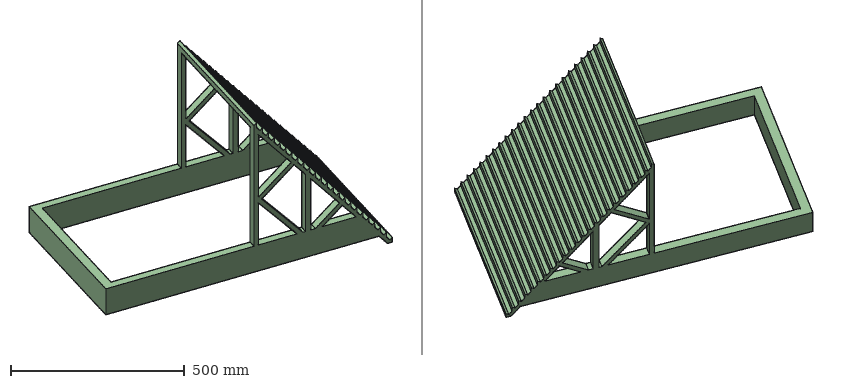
import cadquery as cq
import math

WIDTH = 480.0
LENGTH = 928.0
HEIGHT = 547.5

RAIL_WIDTH = 25.0
RAIL_HEIGHT = 90.0
RAIL_BOTTOM = 33.0
FRONT_BAR_DEPTH = 30.0

TOOTH_PITCHES = 23
TIP_RUN = 440.0
TIP_RISE = 531.0
NOTCH_RUN = 8.0
NOTCH_DROP = 6.5
FRONT_FACE_DROP = 18.0
FRONT_FACE_LEAN = 1.0
EAVE_FLAT = 16.0

RIDGE_POST_BACK = 480.0
RIDGE_POST_DEPTH = 15.0
MID_POST_BACK = 647.0
MID_POST_DEPTH = 18.0
BRACE_WIDTH = 15.0
BRACE_JOINT_HEIGHT = 279.0
SHORT_BRACE_FOOT = 690.0
RISING_BRACE_FOOT = 628.0

rail_top = RAIL_BOTTOM + RAIL_HEIGHT
slope = TIP_RISE / TIP_RUN
slope_angle = math.atan(slope)
first_tip_height = HEIGHT - TIP_RISE
ridge_post_front = RIDGE_POST_BACK + RIDGE_POST_DEPTH
underside_foot = LENGTH - EAVE_FLAT


def underside_height(y):
    """Height of the flat underside of the roof sheet at a given Y."""
    return (underside_foot - y) * slope


def prism(points, x_start, x_width):
    """Extrude a closed (Y, Z) outline along +X from x_start."""
    return cq.Workplane("YZ", origin=(x_start, 0, 0)).polyline(points).close().extrude(x_width)


def rectangle(y_low, y_high, z_low, z_high):
    return [(y_low, z_low), (y_high, z_low), (y_high, z_high), (y_low, z_high)]


def bar(start, end):
    """Outline of a brace whose centreline runs between two (Y, Z) points."""
    run = end[0] - start[0]
    rise = end[1] - start[1]
    half = BRACE_WIDTH / 2 / math.hypot(run, rise)
    side_y = -rise * half
    side_z = run * half
    return [
        (start[0] + side_y, start[1] + side_z),
        (end[0] + side_y, end[1] + side_z),
        (end[0] - side_y, end[1] - side_z),
        (start[0] - side_y, start[1] - side_z),
    ]


def roof_sheet():
    """Full-width sheet: flat underside, saw teeth with steep fronts on top."""
    pitch_run = TIP_RUN / TOOTH_PITCHES
    pitch_rise = TIP_RISE / TOOTH_PITCHES

    outline = [(underside_foot, 0), (LENGTH, 0)]
    for index in range(TOOTH_PITCHES):
        tip_y = LENGTH - index * pitch_run
        tip_z = first_tip_height + index * pitch_rise
        next_tip_y = tip_y - pitch_run
        next_tip_z = tip_z + pitch_rise
        outline.append((tip_y, tip_z))
        outline.append((tip_y - NOTCH_RUN, tip_z - NOTCH_DROP))
        outline.append((next_tip_y + FRONT_FACE_LEAN, next_tip_z - FRONT_FACE_DROP))

    last_tip_y = LENGTH - TIP_RUN
    ridge_drop = (last_tip_y - RIDGE_POST_BACK) * NOTCH_DROP / NOTCH_RUN
    outline.append((last_tip_y, HEIGHT))
    outline.append((RIDGE_POST_BACK, HEIGHT - ridge_drop))
    outline.append((RIDGE_POST_BACK, underside_height(RIDGE_POST_BACK)))
    return prism(outline, -WIDTH / 2, WIDTH)


def roof_brace(y, z):
    """Outline of a brace square to the roof, from the point (y, z) up to the underside."""
    reach = (underside_height(y) - z) * math.cos(slope_angle)
    top = (y + reach * math.sin(slope_angle), z + reach * math.cos(slope_angle))
    return bar((y, z), top)


def truss_outlines():
    """Outlines of the posts and braces, rooted inside the rail and the ridge post."""
    root_depth = RAIL_HEIGHT / 2
    root_z = rail_top - root_depth
    half_post = RIDGE_POST_DEPTH / 2
    post_middle = ridge_post_front - half_post
    rising_slope = (BRACE_JOINT_HEIGHT - rail_top) / (RISING_BRACE_FOOT - ridge_post_front)

    rising_start = (RISING_BRACE_FOOT + root_depth / rising_slope, root_z)
    rising_end = (post_middle, BRACE_JOINT_HEIGHT + half_post * rising_slope)
    return [
        rectangle(RIDGE_POST_BACK, ridge_post_front, root_z, HEIGHT),
        rectangle(MID_POST_BACK, MID_POST_BACK + MID_POST_DEPTH, root_z, HEIGHT),
        roof_brace(post_middle, BRACE_JOINT_HEIGHT - half_post / slope),
        roof_brace(SHORT_BRACE_FOOT - root_depth * slope, root_z),
        bar(rising_start, rising_end),
    ]


def side_frame(x_start):
    """One rail with its posts and braces, all the same width in X."""
    frame = prism(rectangle(0, LENGTH, RAIL_BOTTOM, rail_top), x_start, RAIL_WIDTH)
    for outline in truss_outlines():
        frame = frame.union(prism(outline, x_start, RAIL_WIDTH))

    below_roof = [(0, 0), (underside_foot, 0), (0, underside_height(0))]
    return frame.intersect(prism(below_roof, x_start, RAIL_WIDTH))


def front_bar():
    return prism(rectangle(0, FRONT_BAR_DEPTH, RAIL_BOTTOM, rail_top), -WIDTH / 2, WIDTH)


result = roof_sheet().union(front_bar())
for x_start in (-WIDTH / 2, WIDTH / 2 - RAIL_WIDTH):
    result = result.union(side_frame(x_start))